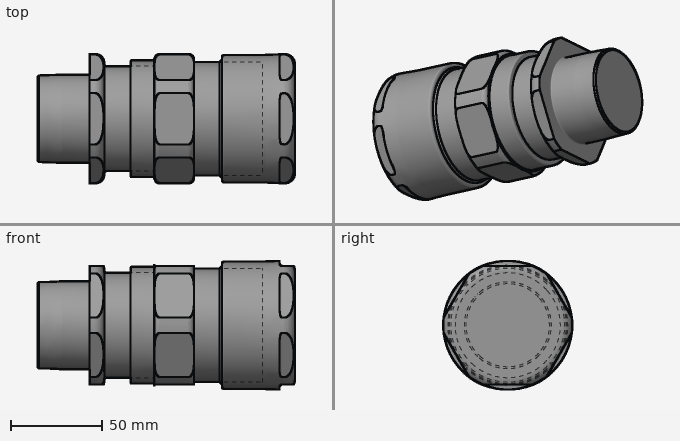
import cadquery as cq
import math


ACROSS_FLATS = 65.0
HEX_CORNER_RADIUS = 35.4
FLAT_COUNT = 6

TAIL_END_RADIUS = 45.5 / 2
TAIL_CHAMFER_LENGTH = 1.0
TAPER_START_RADIUS = 47.5 / 2
TAPER_END_X = 13.7
TAIL_RADIUS = 48.3 / 2
TAIL_ROOT_FILLET = 0.5
FLANGE_START_X = 28.6
FLANGE_END_X = 36.6
FLANGE_ROUNDING = 5.1
SPIGOT_RADIUS = 57.5 / 2
SPIGOT_ROOT_FILLET = 0.8

COLLAR_START_X = 51.0
COLLAR_RADIUS = 64.0 / 2
COLLAR_ROUNDING = 0.8
COLLAR_END_X = 63.8
RIM_RADIUS = 32.8
RIM_THICKNESS = 0.3
BODY_HEX_START_X = COLLAR_END_X + RIM_THICKNESS
BODY_HEX_END_X = 85.7
BODY_HEX_FRONT_ROUNDING = 2.8
BODY_HEX_REAR_ROUNDING = 3.1
REAR_SPIGOT_RADIUS = 62.3 / 2

SEAL_START_X = 99.6
SEAL_OUTER_RADIUS = 32.3

NUT_START_X = 100.9
NUT_RADIUS = 35.0
NUT_FRONT_ROUNDING = 1.4
NUT_STRAIGHT_END_X = 123.1
NUT_FLARE_START_X = 125.1
NUT_FLARE_RISE = 0.05
NUT_FLATS_START_X = 132.4
NUT_FLATS_ROOT_RADIUS = 1.3
NUT_END_X = 140.9
NUT_END_ROUNDING = 5.9

SPIGOT_END_X = COLLAR_END_X
REAR_SPIGOT_END_X = NUT_STRAIGHT_END_X


def turned(profile):
    """Revolve a closed half profile about the X axis."""
    return profile.close().revolve(360, (0, 0, 0), (1, 0, 0))


def arc_offset(radius):
    """Distance of a quarter arc's midpoint from each of the two edges that the arc rounds."""
    return radius * (1 - math.sqrt(0.5))


def cylinder(start_x, end_x, radius):
    """Cylinder along the X axis."""
    return cq.Workplane("YZ", origin=(start_x, 0, 0)).circle(radius).extrude(end_x - start_x)


def hexagon(start_x, end_x):
    """Hexagonal prism along X, with flats facing +Z and -Z."""
    across_corners = ACROSS_FLATS / math.cos(math.pi / FLAT_COUNT)
    return (
        cq.Workplane("YZ", origin=(start_x, 0, 0))
        .polygon(FLAT_COUNT, across_corners)
        .extrude(end_x - start_x)
    )


def rounded_hexagon(start_x, end_x, rear_rounding, front_rounding=0):
    """Hexagon whose corners are turned round and whose ends are rounded off."""
    envelope = cylinder(start_x, end_x, HEX_CORNER_RADIUS).faces(">X").edges().fillet(rear_rounding)
    if front_rounding:
        envelope = envelope.faces("<X").edges().fillet(front_rounding)
    return hexagon(start_x, end_x).intersect(envelope)


def make_entry_body():
    tail_arc_offset = arc_offset(TAIL_ROOT_FILLET)
    spigot_arc_offset = arc_offset(SPIGOT_ROOT_FILLET)
    tail = turned(
        cq.Workplane("XY")
        .moveTo(0, 0)
        .lineTo(0, TAIL_END_RADIUS)
        .lineTo(TAIL_CHAMFER_LENGTH, TAPER_START_RADIUS)
        .lineTo(TAPER_END_X, TAIL_RADIUS)
        .lineTo(FLANGE_START_X - TAIL_ROOT_FILLET, TAIL_RADIUS)
        .threePointArc(
            (FLANGE_START_X - tail_arc_offset, TAIL_RADIUS + tail_arc_offset),
            (FLANGE_START_X, TAIL_RADIUS + TAIL_ROOT_FILLET),
        )
        .lineTo(FLANGE_START_X, 0)
    )
    flange = rounded_hexagon(FLANGE_START_X, FLANGE_END_X, FLANGE_ROUNDING)
    spigot = turned(
        cq.Workplane("XY")
        .moveTo(FLANGE_END_X, 0)
        .lineTo(FLANGE_END_X, SPIGOT_RADIUS + SPIGOT_ROOT_FILLET)
        .threePointArc(
            (FLANGE_END_X + spigot_arc_offset, SPIGOT_RADIUS + spigot_arc_offset),
            (FLANGE_END_X + SPIGOT_ROOT_FILLET, SPIGOT_RADIUS),
        )
        .lineTo(SPIGOT_END_X, SPIGOT_RADIUS)
        .lineTo(SPIGOT_END_X, 0)
    )
    return tail.union(flange).union(spigot)


def make_main_body():
    collar = cylinder(COLLAR_START_X, COLLAR_END_X, COLLAR_RADIUS)
    collar = collar.faces("<X").edges().fillet(COLLAR_ROUNDING)
    rim = cylinder(COLLAR_END_X, BODY_HEX_START_X, RIM_RADIUS)
    body_hex = rounded_hexagon(
        BODY_HEX_START_X, BODY_HEX_END_X, BODY_HEX_REAR_ROUNDING, BODY_HEX_FRONT_ROUNDING
    )
    rear_spigot = cylinder(BODY_HEX_END_X, REAR_SPIGOT_END_X, REAR_SPIGOT_RADIUS)
    socket = cylinder(COLLAR_START_X, SPIGOT_END_X, SPIGOT_RADIUS)
    return collar.union(rim).union(body_hex).union(rear_spigot).cut(socket)


def make_sealing_ring():
    return turned(
        cq.Workplane("XY")
        .moveTo(SEAL_START_X, REAR_SPIGOT_RADIUS)
        .lineTo(NUT_START_X, SEAL_OUTER_RADIUS)
        .lineTo(NUT_START_X, REAR_SPIGOT_RADIUS)
    )


def flat_cutter():
    """Block above the +Z flat of the back nut, rounded where the flat meets its end wall."""
    length = NUT_END_X - NUT_FLATS_START_X
    width = 2 * HEX_CORNER_RADIUS
    return (
        cq.Workplane("XY")
        .box(length, width, width, centered=(False, True, False))
        .edges("<X and <Z")
        .fillet(NUT_FLATS_ROOT_RADIUS)
        .translate((NUT_FLATS_START_X, 0, ACROSS_FLATS / 2))
    )


def make_back_nut():
    front_arc_offset = arc_offset(NUT_FRONT_ROUNDING)
    end_arc_offset = arc_offset(NUT_END_ROUNDING)
    nut = turned(
        cq.Workplane("XY")
        .moveTo(NUT_START_X, 0)
        .lineTo(NUT_START_X, NUT_RADIUS - NUT_FRONT_ROUNDING)
        .threePointArc(
            (NUT_START_X + front_arc_offset, NUT_RADIUS - front_arc_offset),
            (NUT_START_X + NUT_FRONT_ROUNDING, NUT_RADIUS),
        )
        .lineTo(NUT_STRAIGHT_END_X, NUT_RADIUS)
        .tangentArcPoint((NUT_FLARE_START_X, NUT_RADIUS + NUT_FLARE_RISE), relative=False)
        .lineTo(NUT_END_X - NUT_END_ROUNDING, HEX_CORNER_RADIUS)
        .threePointArc(
            (NUT_END_X - end_arc_offset, HEX_CORNER_RADIUS - end_arc_offset),
            (NUT_END_X, HEX_CORNER_RADIUS - NUT_END_ROUNDING),
        )
        .lineTo(NUT_END_X, 0)
    )
    cutter = flat_cutter()
    for index in range(FLAT_COUNT):
        angle = index * 360 / FLAT_COUNT
        nut = nut.cut(cutter.rotate((0, 0, 0), (1, 0, 0), angle))
    socket = cylinder(NUT_START_X, REAR_SPIGOT_END_X, REAR_SPIGOT_RADIUS)
    return nut.cut(socket)


entry_body = make_entry_body()
main_body = make_main_body()
sealing_ring = make_sealing_ring()
back_nut = make_back_nut()

result = cq.Compound.makeCompound(
    [entry_body.val(), main_body.val(), sealing_ring.val(), back_nut.val()]
)